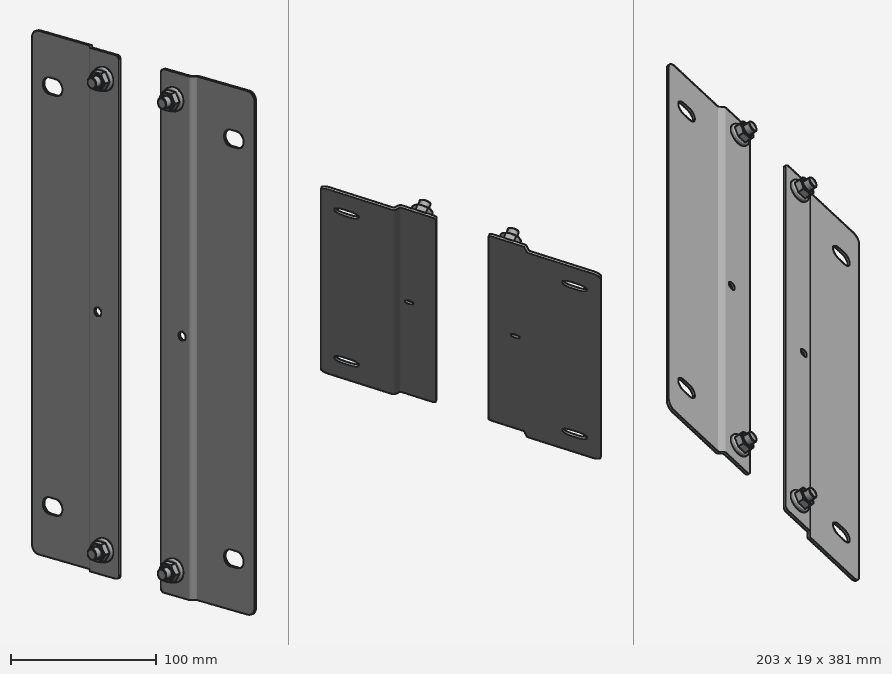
import cadquery as cq
import math


plate_length = 381.0
overall_width = 203.0
overall_depth = 19.0
inner_gap = 38.0
sheet_thickness = 2.0
outer_corner_radius = 6.0
inner_corner_radius = 3.0
outer_edge_x = overall_width / 2
inner_edge_x = inner_gap / 2

joggle_offset = 3.5
joggle_angle = math.radians(45)
inside_bend_radius = 0.57
joggle_start_x = 44.5
outside_bend_radius = inside_bend_radius + sheet_thickness

slot_length = 18.0
slot_height = 12.2
slot_x = 82.5
slot_z = 152.8
small_hole_diameter = 6.5
small_hole_x = 38.5

stud_diameter = 8.0
stud_tip_chamfer = 0.5
stud_x = 32.0
stud_z = 171.5
stud_seat_y = -(joggle_offset + sheet_thickness)
stud_length = overall_depth + stud_seat_y

nut_height = 8.8
flange_diameter = 17.0
flange_height = 3.5
flange_edge_radius = 1.0
hex_sides = 6
hex_across_flats = 13.0
hex_tip_diameter = 12.2
hex_chamfer_angle = math.radians(30)
countersink_diameter = 9.5
hex_across_corners = hex_across_flats / math.cos(math.pi / hex_sides)

cut_reach = overall_depth


def joggle_profile():
    """Cross-section of the right-hand plate in the XY plane, its outer strip lying at Y = 0."""
    sine = math.sin(joggle_angle)
    cosine = math.cos(joggle_angle)
    bend_radius_sum = inside_bend_radius + outside_bend_radius
    web_drop = joggle_offset - bend_radius_sum * (1 - cosine)
    joggle_run = bend_radius_sum * sine + web_drop / math.tan(joggle_angle)
    joggle_end_x = joggle_start_x + joggle_run

    def inner_bend_point(radius, angle):
        """Point on the bend next to the inner strip, whose centre is behind that strip."""
        centre_y = -joggle_offset + inside_bend_radius
        return (joggle_start_x + radius * math.sin(angle), centre_y - radius * math.cos(angle))

    def outer_bend_point(radius, angle):
        """Point on the bend next to the outer strip, whose centre is in front of that strip."""
        centre_y = -sheet_thickness - inside_bend_radius
        return (joggle_end_x - radius * math.sin(angle), centre_y + radius * math.cos(angle))

    half_angle = joggle_angle / 2
    return (
        cq.Workplane("XY")
        .moveTo(inner_edge_x, stud_seat_y)
        .lineTo(joggle_start_x, stud_seat_y)
        .threePointArc(
            inner_bend_point(outside_bend_radius, half_angle),
            inner_bend_point(outside_bend_radius, joggle_angle),
        )
        .lineTo(*outer_bend_point(inside_bend_radius, joggle_angle))
        .threePointArc(
            outer_bend_point(inside_bend_radius, half_angle),
            outer_bend_point(inside_bend_radius, 0),
        )
        .lineTo(outer_edge_x, -sheet_thickness)
        .lineTo(outer_edge_x, 0)
        .lineTo(joggle_end_x, 0)
        .threePointArc(
            outer_bend_point(outside_bend_radius, half_angle),
            outer_bend_point(outside_bend_radius, joggle_angle),
        )
        .lineTo(*inner_bend_point(inside_bend_radius, joggle_angle))
        .threePointArc(
            inner_bend_point(inside_bend_radius, half_angle),
            inner_bend_point(inside_bend_radius, 0),
        )
        .lineTo(inner_edge_x, -joggle_offset)
        .close()
    )


def make_right_plate():
    """Joggled plate with rounded corners, two slots and one small hole."""
    plate = joggle_profile().extrude(plate_length / 2, both=True)
    plate = plate.edges("|Y and >X").fillet(outer_corner_radius)
    plate = plate.edges("|Y and <X").fillet(inner_corner_radius)
    slots = (
        cq.Workplane("XZ")
        .pushPoints([(slot_x, -slot_z), (slot_x, slot_z)])
        .slot2D(slot_length, slot_height)
        .extrude(cut_reach, both=True)
    )
    small_hole = (
        cq.Workplane("XZ")
        .center(small_hole_x, 0)
        .circle(small_hole_diameter / 2)
        .extrude(cut_reach, both=True)
    )
    return plate.cut(slots).cut(small_hole)


def make_stud(x, z):
    """Plain stud standing on the front face of the inner strip, with a chamfered tip."""
    return (
        cq.Workplane("XZ", origin=(x, stud_seat_y, z))
        .circle(stud_diameter / 2)
        .extrude(stud_length)
        .faces("<Y")
        .chamfer(stud_tip_chamfer)
    )


def make_nut(x, z):
    """Hexagon nut with a rounded flange, seated on the inner strip around a stud."""
    seat = cq.Workplane("XZ", origin=(x, stud_seat_y, z))
    flange = seat.circle(flange_diameter / 2).extrude(flange_height).edges().fillet(flange_edge_radius)
    corner_radius = hex_across_corners / 2
    tip_radius = hex_tip_diameter / 2
    chamfer_height = (corner_radius - tip_radius) * math.tan(hex_chamfer_angle)
    chamfer_envelope = (
        cq.Workplane("XY")
        .polyline(
            [
                (0, 0),
                (corner_radius, 0),
                (corner_radius, chamfer_height - nut_height),
                (tip_radius, -nut_height),
                (0, -nut_height),
            ]
        )
        .close()
        .revolve(360, (0, 0, 0), (0, 1, 0))
        .translate((x, stud_seat_y, z))
    )
    hexagon = seat.polygon(hex_sides, hex_across_corners).extrude(nut_height).intersect(chamfer_envelope)
    bore = seat.circle(stud_diameter / 2).extrude(nut_height)
    nut = flange.union(hexagon).cut(bore)

    smallest_circle = cq.selectors.RadiusNthSelector(0)
    countersink_width = (countersink_diameter - stud_diameter) / 2
    return nut.faces("<Y").edges("%CIRCLE").edges(smallest_circle).chamfer(countersink_width)


right_plate = make_right_plate()
left_plate = right_plate.mirror("YZ")

studs = []
nuts = []
for x in (-stud_x, stud_x):
    for z in (-stud_z, stud_z):
        studs.append(make_stud(x, z).val())
        nuts.append(make_nut(x, z).val())

result = cq.Compound.makeCompound([right_plate.val(), left_plate.val(), *studs, *nuts])